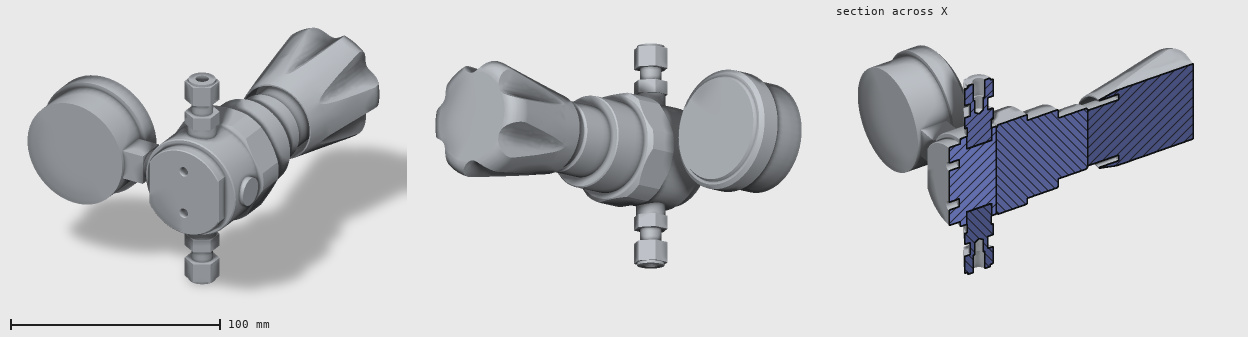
import cadquery as cq
import math


port_y = 17.1
port_radius = 7.0
port_floor = 18.1

pad_radius = 22.2
pad_half_width = 19.3
pad_height = 6.1
pad_chamfer = 0.4
body_radius = 25.0
body_top = 27.0
body_chamfer = 0.5
mount_hole_radius = 2.1
mount_hole_chamfer = 0.4
mount_hole_depth = 5.5
mount_hole_offset = 11.1
plug_end = 27.0

nut_apothem = 25.5
nut_radius = 27.1
nut_top = 44.6
nut_chamfer_height = 1.8
nut_chamfer_top = 2.1
nut_chamfer_bottom = 2.9
collar_radius = 22.2
collar_top = 62.1
collar_chamfer = 0.5
sleeve_radius = 17.4
sleeve_top = 79.0
sleeve_chamfer = 1.0

knob_base = 85.4
knob_top = 139.0
knob_base_radius = 19.5
shoulder_radius = 28.4
shoulder_y = 129.8
crown_radius = 27.1
crown_y = 136.1
face_radius = 21.8
neck_radius = 15.8
recess_radius = 18.8
recess_depth = 11.1
scallop_count = 6
scallop_bottom = 21.4
scallop_half_width = 10.4
scallop_rise = 6.5
scallop_slope = 38.0
scallop_clearance = 7.0
knob_turn = 0.7

gauge_x = -65.2
gauge_base = 7.5
case_radius = 26.4
bezel_base = 26.4
bezel_radius = 28.9
bezel_bevel_base = 35.3
bezel_top = 37.0
bezel_top_radius = 27.0
lens_base_radius = 25.6
lens_top_radius = 24.6
lens_top = 38.6
block_width = 14.7
block_end = -28.6

hex_across_flats = 14.5
hex_base = 29.6
hex_top = 36.0
fitting_neck_radius = 5.1
cap_base = 42.5
fitting_span = 107.2
fitting_end = fitting_span / 2
end_lip = 1.3
cap_top = fitting_end - end_lip
end_radius = 6.5
socket_radius = 3.2
socket_depth = 9.7
bore_radius = 2.4
bore_depth = 16.7
drill_half_angle = 59.0


def revolve_about_y(profile):
    """Revolve a closed outline of (radius, y) points about the Y axis."""
    return cq.Workplane("XY").polyline(profile).close().revolve(360, (0, 0), (0, 1))


def port_cylinder(direction, inner, outer):
    """Cylinder of port radius along a radial direction in the port plane."""
    start = cq.Vector(0, port_y, 0) + direction * inner
    return cq.Workplane(cq.Solid.makeCylinder(port_radius, outer - inner, start, direction))


def make_mount_hole():
    """Blind hole along Y with a chamfered mouth at Y = 0."""
    return revolve_about_y([
        (0, 0),
        (mount_hole_radius + mount_hole_chamfer, 0),
        (mount_hole_radius, mount_hole_chamfer),
        (mount_hole_radius, mount_hole_depth),
        (0, mount_hole_depth),
    ])


def make_body():
    pad = (
        cq.Workplane("XZ")
        .circle(pad_radius)
        .extrude(-pad_height)
        .intersect(cq.Workplane("XY").box(2 * pad_half_width, 2 * pad_height, 2 * pad_radius))
        .faces("<Y")
        .chamfer(pad_chamfer)
    )
    barrel = (
        cq.Workplane("XZ", origin=(0, pad_height, 0))
        .circle(body_radius)
        .extrude(pad_height - body_top)
        .faces("<Y")
        .chamfer(body_chamfer)
    )
    body = pad.union(barrel)
    body = body.union(port_cylinder(cq.Vector(1, 0, 0), 0, plug_end))
    port_mouth = body_radius + 1.4
    for direction in (cq.Vector(0, 0, 1), cq.Vector(0, 0, -1), cq.Vector(-1, 0, 0)):
        body = body.cut(port_cylinder(direction, port_floor, port_mouth))
    for side in (1, -1):
        body = body.cut(make_mount_hole().translate((0, 0, side * mount_hole_offset)))
    return body


def make_bonnet():
    corner_diameter = 2 * nut_apothem / math.cos(math.radians(30))
    hexagon = (
        cq.Workplane("XZ", origin=(0, body_top, 0))
        .polygon(6, corner_diameter)
        .extrude(body_top - nut_top)
    )
    turned = revolve_about_y([
        (0, body_top),
        (nut_radius - nut_chamfer_bottom, body_top),
        (nut_radius, body_top + nut_chamfer_height),
        (nut_radius, nut_top - nut_chamfer_height),
        (nut_radius - nut_chamfer_top, nut_top),
        (0, nut_top),
    ])
    barrel = revolve_about_y([
        (0, body_top),
        (collar_radius, body_top),
        (collar_radius, collar_top - collar_chamfer),
        (collar_radius - collar_chamfer, collar_top),
        (sleeve_radius, collar_top),
        (sleeve_radius, sleeve_top - sleeve_chamfer),
        (sleeve_radius - sleeve_chamfer, sleeve_top),
        (0, sleeve_top),
    ])
    return hexagon.intersect(turned).union(barrel)


def make_knob_blank():
    """Cone with a rounded crown, on a neck that stands in an annular recess."""
    return (
        cq.Workplane("XY")
        .moveTo(0, sleeve_top)
        .lineTo(neck_radius, sleeve_top)
        .lineTo(neck_radius, knob_base + recess_depth)
        .lineTo(recess_radius, knob_base + recess_depth)
        .lineTo(recess_radius, knob_base)
        .lineTo(knob_base_radius, knob_base)
        .lineTo(shoulder_radius, shoulder_y)
        .tangentArcPoint((crown_radius, crown_y), relative=False)
        .tangentArcPoint((face_radius, knob_top), relative=False)
        .lineTo(0, knob_top)
        .close()
        .revolve(360, (0, 0), (0, 1))
    )


def make_scallop_cutter():
    """Prism along Y above the axis, with a smooth trough as its floor."""
    slope = math.radians(scallop_slope)
    edge_z = scallop_bottom + scallop_rise
    roof_z = edge_z + scallop_clearance
    return (
        cq.Workplane("XZ", origin=(0, knob_base, 0))
        .moveTo(-scallop_half_width, edge_z)
        .spline(
            [(0, scallop_bottom), (scallop_half_width, edge_z)],
            tangents=[(math.cos(slope), -math.sin(slope)), (math.cos(slope), math.sin(slope))],
            includeCurrent=True,
        )
        .lineTo(scallop_half_width, roof_z)
        .lineTo(-scallop_half_width, roof_z)
        .close()
        .extrude(knob_base - knob_top)
    )


def make_knob():
    knob = make_knob_blank()
    cutter = make_scallop_cutter()
    for index in range(scallop_count):
        angle = index * 360 / scallop_count - knob_turn
        knob = knob.cut(cutter.rotate((0, 0, 0), (0, 1, 0), angle))
    return knob


def make_gauge():
    case = revolve_about_y([
        (0, gauge_base),
        (case_radius, gauge_base),
        (case_radius, bezel_base),
        (bezel_radius, bezel_base),
        (bezel_radius, bezel_bevel_base),
        (bezel_top_radius, bezel_top),
        (lens_base_radius, bezel_top),
        (lens_top_radius, lens_top),
        (0, lens_top),
    ]).translate((gauge_x, 0, 0))
    block_length = block_end - gauge_x
    block = cq.Workplane("XY").box(block_length, block_width, block_width)
    block = block.translate(((gauge_x + block_end) / 2, port_y, 0))
    stem = port_cylinder(cq.Vector(-1, 0, 0), port_floor, -block_end)
    return case.union(block).union(stem)


def hex_prism(base, top):
    """Hexagon along Z with its corners towards +-Y."""
    corner_diameter = hex_across_flats / math.cos(math.radians(30))
    prism = cq.Workplane("XY", origin=(0, 0, base)).polygon(6, corner_diameter).extrude(top - base)
    return prism.rotate((0, 0, 0), (0, 0, 1), 90)


def round_section(radius, base, top):
    return cq.Workplane("XY", origin=(0, 0, base)).circle(radius).extrude(top - base)


def make_fitting(turn):
    """Tube fitting pointing along +Z, turned about the regulator axis by an angle."""
    fitting = (
        round_section(port_radius, port_floor, hex_base)
        .union(hex_prism(hex_base, hex_top))
        .union(round_section(fitting_neck_radius, hex_top, cap_base))
        .union(hex_prism(cap_base, cap_top))
        .union(round_section(end_radius, cap_top, fitting_end))
    )
    socket_floor = fitting_end - socket_depth
    bore_floor = fitting_end - bore_depth
    drill_tip = bore_floor - bore_radius / math.tan(math.radians(drill_half_angle))
    socket = (
        cq.Workplane("XZ")
        .polyline([
            (0, drill_tip),
            (bore_radius, bore_floor),
            (bore_radius, socket_floor),
            (socket_radius, socket_floor),
            (socket_radius, fitting_end),
            (0, fitting_end),
        ])
        .close()
        .revolve(360, (0, 0), (0, 1))
    )
    return fitting.cut(socket).rotate((0, 0, 0), (0, 1, 0), turn).translate((0, port_y, 0))


body = make_body()
bonnet = make_bonnet()
knob = make_knob()
gauge = make_gauge()
fittings = [make_fitting(turn) for turn in (0, 180)]

result = cq.Compound.makeCompound([
    body.val(),
    bonnet.val(),
    knob.val(),
    gauge.val(),
    *[fitting.val() for fitting in fittings],
])